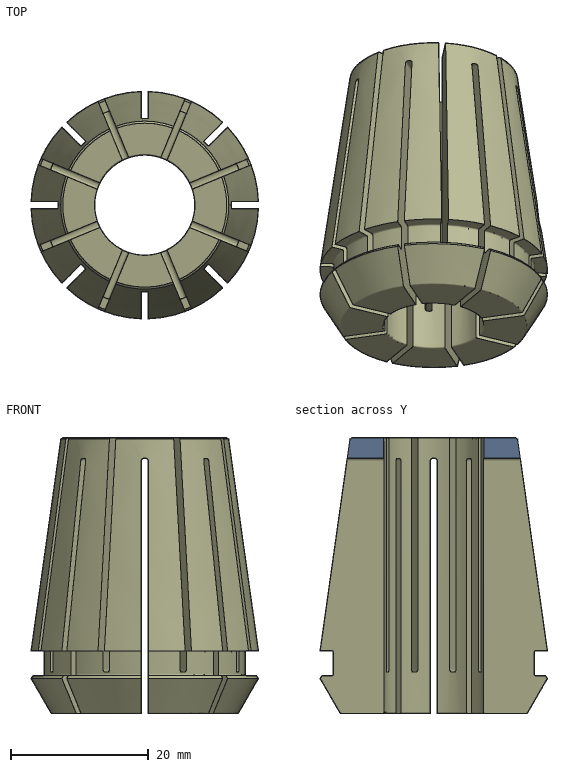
import cadquery as cq
import math

total_height = 40.0
max_radius = 33.0 / 2
bore_radius = 14.5 / 2
edge_round = 0.2

nose_half_angle = 30.0
nose_cone_height = 5.1
rim_height = 5.5
rim_bevel = 0.3
nose_base_radius = max_radius - nose_cone_height * math.tan(math.radians(nose_half_angle))

groove_top = 9.1
groove_radius = 14.6
groove_fillet = 0.2

cone_half_angle = 8.0
top_bevel_height = 0.2
top_bevel_width = 0.3
cone_end_height = total_height - top_bevel_height
cone_end_radius = max_radius - (cone_end_height - groove_top) * math.tan(math.radians(cone_half_angle))

slot_count = 8
slot_width = 1.0
slot_corner_radius = 0.4
slot_pitch = 360.0 / slot_count
lower_slot_end = 37.0
upper_slot_end = 6.0
slot_reach = max_radius + slot_width


def make_body():
    """Revolve the half section of the collet around Z and round its bottom edges."""
    body = (
        cq.Workplane("XZ")
        .moveTo(bore_radius, 0)
        .lineTo(nose_base_radius, 0)
        .lineTo(max_radius, nose_cone_height)
        .lineTo(max_radius - rim_bevel, rim_height)
        .lineTo(groove_radius + groove_fillet, rim_height)
        .radiusArc((groove_radius, rim_height + groove_fillet), groove_fillet)
        .lineTo(groove_radius, groove_top - groove_fillet)
        .radiusArc((groove_radius + groove_fillet, groove_top), groove_fillet)
        .lineTo(max_radius, groove_top)
        .lineTo(cone_end_radius, cone_end_height)
        .lineTo(cone_end_radius - top_bevel_width, total_height)
        .lineTo(bore_radius + edge_round, total_height)
        .radiusArc((bore_radius, total_height - edge_round), -edge_round)
        .close()
        .revolve(360, (0, 0, 0), (0, 1, 0))
    )
    return body.faces("<Z").edges().fillet(edge_round)


def make_slot(open_height, end_height, angle):
    """Radial slot from an open end to a closed end with filleted corners, turned about Z."""
    slot_height = end_height - open_height
    return (
        cq.Workplane("XY")
        .box(slot_reach, slot_width, abs(slot_height), centered=(False, True, True))
        .translate((0, 0, open_height + slot_height / 2))
        .edges("|X")
        .edges(">Z" if slot_height > 0 else "<Z")
        .fillet(slot_corner_radius)
        .rotate((0, 0, 0), (0, 0, 1), angle)
    )


result = make_body()
for index in range(slot_count):
    lower_angle = index * slot_pitch
    upper_angle = lower_angle + slot_pitch / 2
    result = result.cut(make_slot(0, lower_slot_end, lower_angle))
    result = result.cut(make_slot(total_height, upper_slot_end, upper_angle))